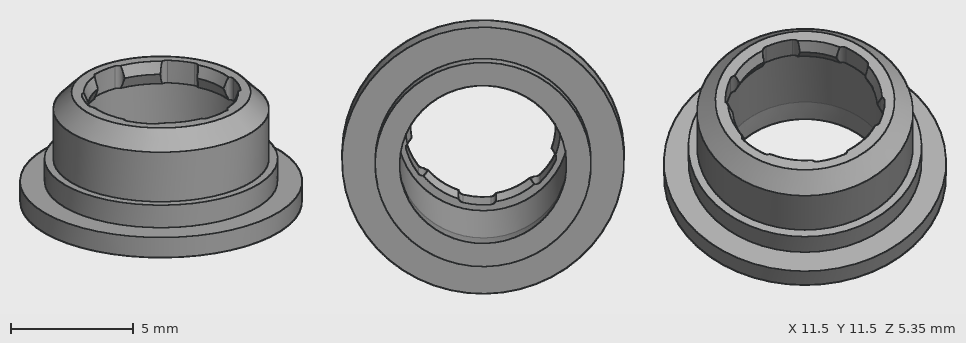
import cadquery as cq

body_diameter = 8.8
flange_diameter = 11.5
shoulder_diameter = 9.5
flange_bottom_z = 0.5
flange_top_z = 1.4
shoulder_top_z = 2.4
total_height = 5.35
top_chamfer = 0.75

bore_diameter = 7.0
bore_bottom_diameter = 6.8
taper_height = 1.0

lip_height = 1.0
lip_edge_diameter = 6.3
lip_ridge_diameter = 5.9

slot_count = 6
slot_first_angle = 30.0
slot_width = 1.55
slot_floor_diameter = 6.5
slot_corner_radius = 0.25

lip_bottom_z = total_height - lip_height
lip_ridge_z = total_height - lip_height / 2


def revolve_profile(points):
    """Revolve a closed (radius, z) profile about the Z axis."""
    return cq.Workplane("XZ").polyline(points).close().revolve(360, (0, 0, 0), (0, 1, 0))


def make_outer_body():
    body_radius = body_diameter / 2
    flange_radius = flange_diameter / 2
    shoulder_radius = shoulder_diameter / 2
    return revolve_profile([
        (0, 0),
        (body_radius, 0),
        (body_radius, flange_bottom_z),
        (flange_radius, flange_bottom_z),
        (flange_radius, flange_top_z),
        (shoulder_radius, flange_top_z),
        (shoulder_radius, shoulder_top_z),
        (body_radius, shoulder_top_z),
        (body_radius, total_height - top_chamfer),
        (body_radius - top_chamfer, total_height),
        (0, total_height),
    ])


def make_bore():
    bore_radius = bore_diameter / 2
    lip_edge_radius = lip_edge_diameter / 2
    return revolve_profile([
        (0, 0),
        (bore_bottom_diameter / 2, 0),
        (bore_radius, taper_height),
        (bore_radius, lip_bottom_z),
        (lip_edge_radius, lip_bottom_z),
        (lip_ridge_diameter / 2, lip_ridge_z),
        (lip_edge_radius, total_height),
        (0, total_height),
    ])


def make_slot(angle):
    """Slot running outward from the axis, with an arc floor and rounded floor corners."""
    floor_radius = slot_floor_diameter / 2
    floor_disc = cq.Workplane("XY").workplane(offset=lip_bottom_z).circle(floor_radius).extrude(lip_height)
    bar = (
        cq.Workplane("XY")
        .workplane(offset=lip_bottom_z)
        .rect(floor_radius * 2, slot_width)
        .extrude(lip_height)
        .translate((floor_radius, 0, 0))
    )
    slot = floor_disc.intersect(bar).edges("|Z and (not <X)").fillet(slot_corner_radius)
    return slot.rotate((0, 0, 0), (0, 0, 1), angle)


result = make_outer_body().cut(make_bore())
for index in range(slot_count):
    result = result.cut(make_slot(slot_first_angle + index * 360.0 / slot_count))